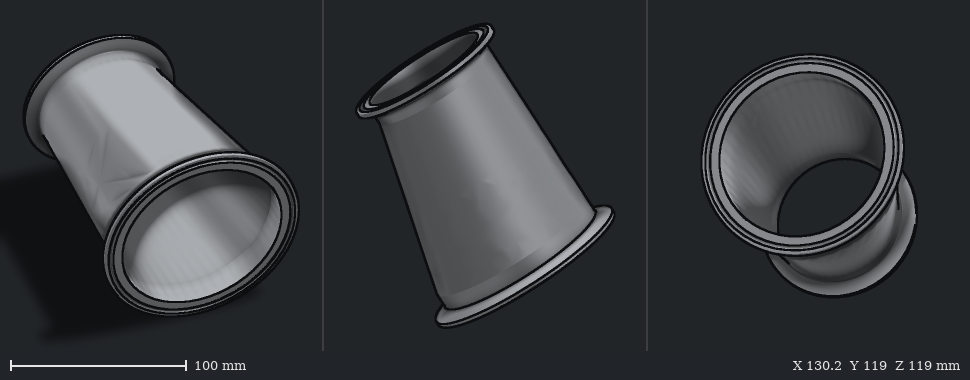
import cadquery as cq
import math

total_length = 130.2
small_end_length = 12.8
large_end_length = 15.9

small_outer_diameter = 76.2
small_bore_diameter = 72.9
small_flange_diameter = 91.4
large_outer_diameter = 101.5
large_bore_diameter = 97.4
large_flange_diameter = 119.0

rim_width = 3.0
rim_rounding = 0.3
back_angle = 20.0
neck_fillet = 0.9

groove_inset = 3.9
groove_radius = 1.4

small_axis_y = -(large_outer_diameter - small_outer_diameter) / 2
left_face_x = -total_length / 2
right_face_x = total_length / 2


def ferrule(outer_diameter, bore_diameter, flange_diameter, length):
    """Clamp ferrule along +X, with its sealing face at x = 0."""
    outer_radius = outer_diameter / 2
    bore_radius = bore_diameter / 2
    rim_radius = flange_diameter / 2
    cone_length = (rim_radius - outer_radius) * math.tan(math.radians(back_angle))
    neck_x = rim_width + cone_length
    groove_middle = rim_radius - groove_inset
    body = (
        cq.Workplane("XY")
        .moveTo(0, bore_radius)
        .lineTo(0, groove_middle - groove_radius)
        .threePointArc((groove_radius, groove_middle), (0, groove_middle + groove_radius))
        .lineTo(0, rim_radius)
        .lineTo(rim_width, rim_radius)
        .lineTo(neck_x, outer_radius)
        .lineTo(length, outer_radius)
        .lineTo(length, bore_radius)
        .close()
        .revolve(360, (0, 0, 0), (1, 0, 0))
    )
    largest_circles = cq.selectors.RadiusNthSelector(-1)
    body = body.edges("%CIRCLE").edges(largest_circles).fillet(rim_rounding)
    around_neck_edge = cq.selectors.BoxSelector(
        (neck_x - neck_fillet / 2, -rim_radius, -rim_radius),
        (neck_x + neck_fillet / 2, rim_radius, rim_radius),
    )
    return body.edges("%CIRCLE").edges(around_neck_edge).fillet(neck_fillet)


def reducer_cone(small_diameter, large_diameter):
    """Solid skewed cone spanning the gap between the two ferrules."""
    cone_length = total_length - small_end_length - large_end_length
    return (
        cq.Workplane("YZ", origin=(left_face_x + small_end_length, 0, 0))
        .center(small_axis_y, 0)
        .circle(small_diameter / 2)
        .workplane(offset=cone_length)
        .center(-small_axis_y, 0)
        .circle(large_diameter / 2)
        .loft(ruled=True)
    )


small_ferrule = ferrule(
    small_outer_diameter, small_bore_diameter, small_flange_diameter, small_end_length
).translate((left_face_x, small_axis_y, 0))
large_ferrule = (
    ferrule(large_outer_diameter, large_bore_diameter, large_flange_diameter, large_end_length)
    .mirror("YZ")
    .translate((right_face_x, 0, 0))
)
cone_wall = reducer_cone(small_outer_diameter, large_outer_diameter).cut(
    reducer_cone(small_bore_diameter, large_bore_diameter)
)

result = cone_wall.union(small_ferrule).union(large_ferrule)